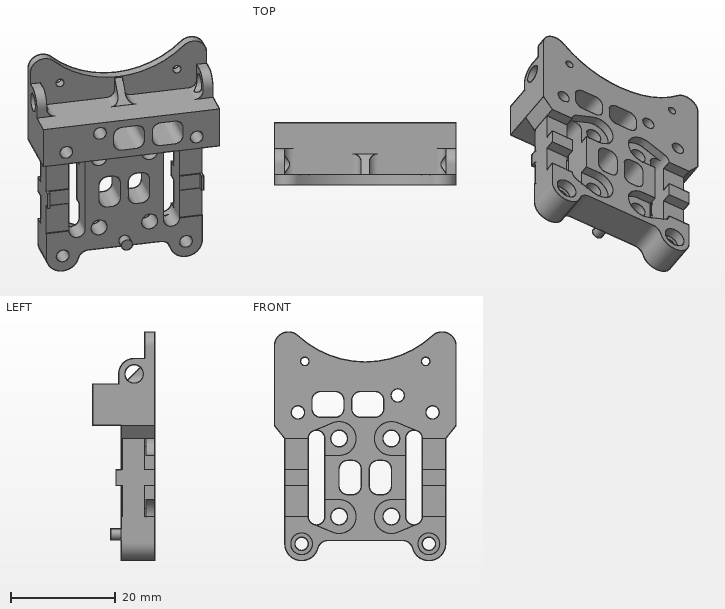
import cadquery as cq
import math


plate_depth = 2.0
body_depth = 6.5
box_depth = 12.0
pocket_depth = 1.75
rail_back = 6.25
tab_back = 7.53
pin_back = 8.55
foot_counterbore_depth = 2.05

total_height = 44.0
upper_half_width = 35.0 / 2
lower_half_width = 15.5
box_bottom = 26.0
box_top = 34.0
shoulder_z = 23.5
horn_radius = 2.75
saddle_z = 38.25
foot_radius = 3.25
body_bottom = 3.87
foot_fillet_radius = 2.0

mount_hole_diameter = 3.15
mount_x = 5.0
mount_spacing_z = 15.0
mount_upper_z = shoulder_z
mount_lower_z = mount_upper_z - mount_spacing_z
pocket_radius = 3.25
slot_x = 9.37
slot_width = 3.15
slot_radius = slot_width / 2

rail_inner_x = slot_x + slot_radius
lug_height = 3.1
tab_thickness = 0.5
rail_mid_z = (mount_upper_z + mount_lower_z) / 2

window_corner_radius = 1.67
upper_window_width = 6.1
upper_window_height = 4.95
upper_window_z = 30.05
upper_window_xs = (-7.17, 0.5)
lower_window_width = 4.22
lower_window_height = 6.55
lower_window_x = 2.9

screw_diameter = 2.5
screw_points = [(-12.95, 28.5), (12.95, 28.5), (6.25, 31.78)]
small_hole_diameter = 1.6
small_hole_x = 11.6
small_hole_z = 38.35
foot_counterbore_diameter = 4.2

ear_width = 2.0
ear_radius = 3.0
ear_hole_diameter = 3.5
ear_hole_y = 4.0
ear_hole_z = 35.9
root_radius = 1.65
gusset_width = 1.55
gusset_leg = 4.0
gusset_half_base = gusset_width / 2 + root_radius

pin_diameter = 2.2
pin_z = 5.05

foot_x = lower_half_width - foot_radius
foot_z = foot_radius
both_sides = (-1, 1)


def at_depth(y):
    """Sketch plane facing the front, at the given depth; its axes are X and Z."""
    return cq.Workplane("XZ", origin=(0, y, 0))


def block(x0, x1, y0, y1, z0, z1):
    return cq.Workplane("XY").box(x1 - x0, y1 - y0, z1 - z0, centered=False).translate((x0, y0, z0))


def drill(points, diameter, depth=box_depth):
    return at_depth(0).pushPoints(points).circle(diameter / 2).extrude(-depth)


def upper_plate():
    """Plate with two rounded horns joined by a concave saddle tangent to both."""
    horn_x = upper_half_width - horn_radius
    horn_z = total_height - horn_radius
    drop = horn_z - saddle_z
    saddle_radius = (horn_x**2 + drop**2 - horn_radius**2) / (2 * (horn_radius + drop))
    saddle_center_z = saddle_z + saddle_radius
    reach = horn_radius / (horn_radius + saddle_radius)
    tangent_x = horn_x * (1 - reach)
    tangent_z = horn_z + (saddle_center_z - horn_z) * reach
    return (
        at_depth(0)
        .moveTo(-upper_half_width, box_bottom)
        .lineTo(upper_half_width, box_bottom)
        .lineTo(upper_half_width, horn_z)
        .threePointArc((horn_x, total_height), (tangent_x, tangent_z))
        .threePointArc((0, saddle_z), (-tangent_x, tangent_z))
        .threePointArc((-horn_x, total_height), (-upper_half_width, horn_z))
        .close()
        .extrude(-plate_depth)
    )


def lower_body():
    """Thick lower body with a tapered shoulder and two round feet blended into its bottom edge."""
    blend_z = body_bottom - foot_fillet_radius
    center_distance = foot_radius + foot_fillet_radius
    blend_x = foot_x - math.sqrt(center_distance**2 - (blend_z - foot_z)**2)
    share = foot_radius / center_distance
    tangent_x = foot_x + (blend_x - foot_x) * share
    tangent_z = foot_z + (blend_z - foot_z) * share
    mid_angle = (math.pi / 2 + math.atan2(tangent_z - blend_z, tangent_x - blend_x)) / 2
    mid_x = blend_x + foot_fillet_radius * math.cos(mid_angle)
    mid_z = blend_z + foot_fillet_radius * math.sin(mid_angle)
    return (
        at_depth(0)
        .moveTo(-upper_half_width, box_bottom)
        .lineTo(-lower_half_width, shoulder_z)
        .lineTo(-lower_half_width, foot_z)
        .threePointArc((-foot_x, 0), (-tangent_x, tangent_z))
        .threePointArc((-mid_x, mid_z), (-blend_x, body_bottom))
        .lineTo(blend_x, body_bottom)
        .threePointArc((mid_x, mid_z), (tangent_x, tangent_z))
        .threePointArc((foot_x, 0), (lower_half_width, foot_z))
        .lineTo(lower_half_width, shoulder_z)
        .lineTo(upper_half_width, box_bottom)
        .close()
        .extrude(-body_depth)
    )


def root_fillet(x, direction):
    """Concave fillet from a wall at x down to the box top, running back from the plate."""
    tip_x = x + direction * root_radius
    mid_offset = root_radius * (1 - math.sqrt(0.5))
    return (
        at_depth(plate_depth)
        .moveTo(x, box_top)
        .lineTo(tip_x, box_top)
        .threePointArc((x + direction * mid_offset, box_top + mid_offset), (x, box_top + root_radius))
        .close()
        .extrude(-(ear_hole_y + ear_radius - plate_depth))
    )


def ear(side):
    """Rounded ear at one end of the box, with its root fillet."""
    inner_x = side * (upper_half_width - ear_width)
    start_x = min(inner_x, side * upper_half_width)
    back_y = ear_hole_y + ear_radius
    top_z = ear_hole_z + ear_radius
    corner = ear_radius * math.sqrt(0.5)
    profile = (
        cq.Workplane("YZ", origin=(start_x, 0, 0))
        .moveTo(plate_depth, box_top)
        .lineTo(back_y, box_top)
        .lineTo(back_y, ear_hole_z)
        .threePointArc((ear_hole_y + corner, ear_hole_z + corner), (ear_hole_y, top_z))
        .lineTo(plate_depth, top_z)
        .close()
        .extrude(ear_width)
    )
    return profile.union(root_fillet(inner_x, -side))


def ear_holes():
    """One cross bore along X through both ears."""
    return (
        cq.Workplane("YZ", origin=(-upper_half_width, 0, 0))
        .center(ear_hole_y, ear_hole_z)
        .circle(ear_hole_diameter / 2)
        .extrude(2 * upper_half_width)
    )


def gusset():
    """Triangular gusset behind the saddle, with filleted roots cut by the same slope."""
    half_width = gusset_width / 2
    back_y = plate_depth + gusset_leg
    top_z = box_top + gusset_leg
    rib = block(-half_width, half_width, plate_depth, back_y, box_top, top_z)
    for side in both_sides:
        rib = rib.union(root_fillet(side * half_width, side))
    envelope = (
        cq.Workplane("YZ")
        .moveTo(plate_depth, box_top)
        .lineTo(back_y, box_top)
        .lineTo(plate_depth, top_z)
        .close()
        .extrude(gusset_half_base, both=True)
    )
    return rib.intersect(envelope)


def mount_pocket(x_side, z, z_side):
    """Recess around a mounting hole, narrowing to the round end of the slot beside it."""
    gap = slot_x - mount_x
    sine = (pocket_radius - slot_radius) / gap
    cosine = math.sqrt(1 - sine**2)
    outline = [
        (mount_x, -pocket_radius),
        (slot_x, -pocket_radius),
        (slot_x + slot_radius * sine, slot_radius * cosine),
        (mount_x + pocket_radius * sine, pocket_radius * cosine),
        (mount_x, 0),
    ]
    points = [(x_side * x, z + z_side * dz) for x, dz in outline]
    neck = at_depth(0).polyline(points).close().extrude(-pocket_depth)
    return neck.union(drill([(x_side * mount_x, z)], 2 * pocket_radius, pocket_depth))


def windows(points, width, height):
    return (
        at_depth(0)
        .pushPoints(points)
        .rect(width, height)
        .extrude(-box_depth)
        .edges("|Y")
        .fillet(window_corner_radius)
    )


part = lower_body().union(upper_plate())
part = part.union(block(-upper_half_width, upper_half_width, 0, box_depth, box_bottom, box_top))
for side in both_sides:
    part = part.union(ear(side))
part = part.cut(ear_holes())
part = part.union(gusset())
pin = at_depth(body_depth).center(0, pin_z).circle(pin_diameter / 2)
part = part.union(pin.extrude(body_depth - pin_back))

lug_bottom = rail_mid_z - lug_height / 2
lug_top = rail_mid_z + lug_height / 2
for side in both_sides:
    inner, outer = sorted((side * rail_inner_x, side * lower_half_width))
    for low, high in ((mount_lower_z, lug_bottom), (lug_top, mount_upper_z)):
        part = part.cut(block(inner, outer, 0, plate_depth, low, high))
        part = part.cut(block(inner, outer, rail_back, body_depth, low, high))
    tab_inner, tab_outer = sorted((side * (lower_half_width - tab_thickness), side * lower_half_width))
    part = part.union(block(tab_inner, tab_outer, body_depth, tab_back, lug_bottom, lug_top))

slot_length = mount_spacing_z + slot_width
for side in both_sides:
    slot = at_depth(0).center(side * slot_x, rail_mid_z).slot2D(slot_length, slot_width, 90)
    part = part.cut(slot.extrude(-body_depth))
    part = part.cut(mount_pocket(side, mount_upper_z, 1))
    part = part.cut(mount_pocket(side, mount_lower_z, -1))
mount_points = [(side * mount_x, z) for side in both_sides for z in (mount_lower_z, mount_upper_z)]
part = part.cut(drill(mount_points, mount_hole_diameter))

upper_points = [(x, upper_window_z) for x in upper_window_xs]
part = part.cut(windows(upper_points, upper_window_width, upper_window_height))
lower_points = [(side * lower_window_x, rail_mid_z) for side in both_sides]
part = part.cut(windows(lower_points, lower_window_width, lower_window_height))

part = part.cut(drill(screw_points, screw_diameter))
small_points = [(side * small_hole_x, small_hole_z) for side in both_sides]
part = part.cut(drill(small_points, small_hole_diameter, plate_depth))
foot_points = [(side * foot_x, foot_z) for side in both_sides]
part = part.cut(drill(foot_points, screw_diameter))
part = part.cut(drill(foot_points, foot_counterbore_diameter, foot_counterbore_depth))

result = part